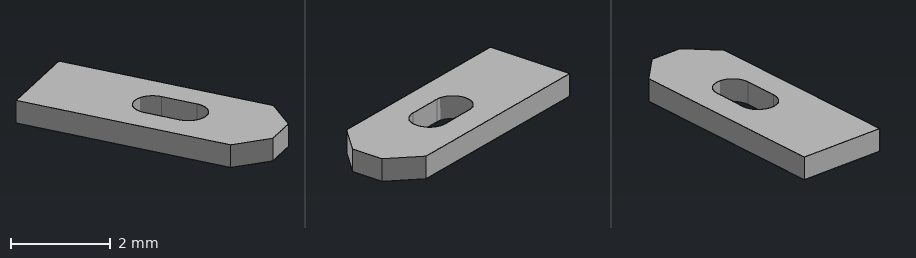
import cadquery as cq

length = 5.41
width = 2.01
thickness = 0.51

nose_chamfer = 0.635

slot_length = 1.6
slot_width = 0.81
slot_centre_from_tail = 2.96


def make_plate():
    """Plate with its tail end at X = 0, centred on Y, resting on Z = 0."""
    plate = cq.Workplane("XY").box(length, width, thickness, centered=(False, True, False))
    return plate.edges("|Z and >X").chamfer(nose_chamfer)


def make_slot():
    """Cutter for the round-ended slot, as tall as the plate."""
    return (
        cq.Workplane("XY")
        .center(slot_centre_from_tail, 0)
        .slot2D(slot_length, slot_width)
        .extrude(thickness)
    )


result = make_plate().cut(make_slot())